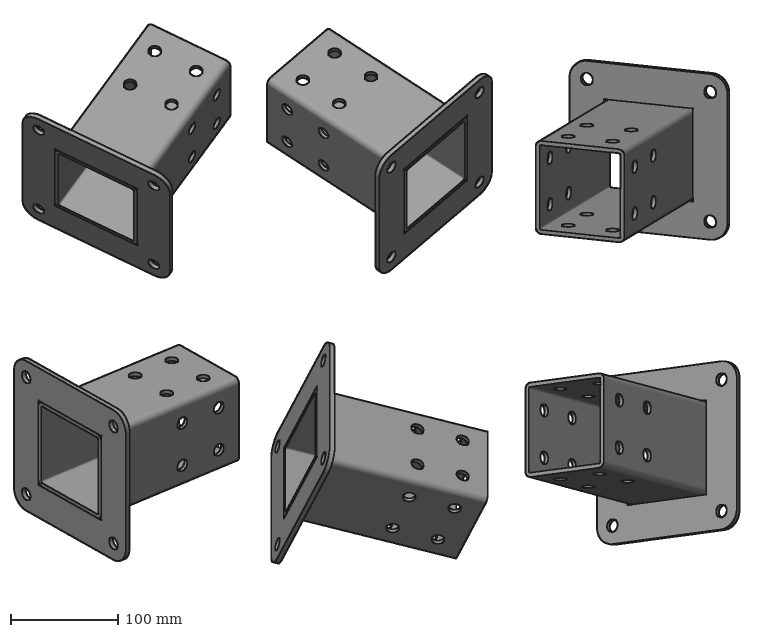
import cadquery as cq

length = 170.0

plate_size = 160.0
plate_thickness = 5.0
plate_corner_radius = 17.5
plate_hole_spacing = 125.0

tube_size = 90.0
tube_wall = 4.0
tube_outer_radius = 6.0
tube_inner_radius = tube_outer_radius - tube_wall
tube_bore = tube_size - 2 * tube_wall

hole_diameter = 12.0
tube_hole_spacing = 45.0
tube_hole_end_distance = 25.0
tube_hole_center_y = length - tube_hole_end_distance - tube_hole_spacing / 2


def square_bar(size, depth):
    """Square bar centred on the Y axis, running from Y = 0 toward +Y."""
    return cq.Workplane("XZ").rect(size, size).extrude(-depth)


def rounded_bar(size, depth, radius):
    """Square bar with its four long edges rounded."""
    return square_bar(size, depth).edges("|Y").fillet(radius)


def make_plate():
    """Rounded plate with four bolt holes and a sharp-cornered tube opening."""
    plate = rounded_bar(plate_size, plate_thickness, plate_corner_radius)
    bolt_holes = (
        cq.Workplane("XZ")
        .rect(plate_hole_spacing, plate_hole_spacing, forConstruction=True)
        .vertices()
        .circle(hole_diameter / 2)
        .extrude(-plate_thickness)
    )
    opening = square_bar(tube_size, plate_thickness)
    return plate.cut(bolt_holes).cut(opening)


def vertical_hole_cutters():
    """Square pattern of four cylinders passing through the tube along Z."""
    return (
        cq.Workplane("XY")
        .center(0, tube_hole_center_y)
        .rect(tube_hole_spacing, tube_hole_spacing, forConstruction=True)
        .vertices()
        .circle(hole_diameter / 2)
        .extrude(tube_size, both=True)
    )


def make_tube():
    """Hollow square tube with four through holes across each pair of walls."""
    tube = rounded_bar(tube_size, length, tube_outer_radius)
    tube = tube.cut(rounded_bar(tube_bore, length, tube_inner_radius))
    for angle in (0, 90):
        cutters = vertical_hole_cutters().rotate((0, 0, 0), (0, 1, 0), angle)
        tube = tube.cut(cutters)
    return tube


plate = make_plate()
tube = make_tube()

result = cq.Compound.makeCompound([plate.val(), tube.val()])